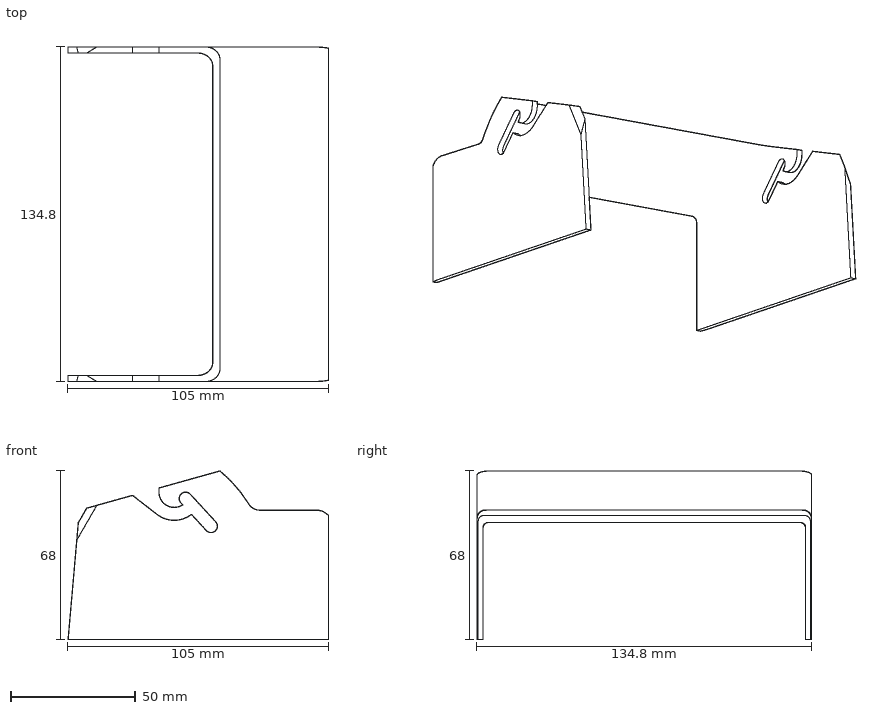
import cadquery as cq
import math

length = 105.0
width = 134.8
sheet = 2.5
half_width = width / 2

front_lean = 5.0
top_edge_rise = math.tan(math.radians(15.6))
apex_x = 61.2
apex_z = 67.96

crown_x = 26.2
crown_z = 25.6
crown_radius = math.hypot(apex_x - crown_x, apex_z - crown_z)
hood_corner_radius = 5.0
crease_radius = 5.0

shelf_z = 52.2
shelf_start = 60.0
shelf_corner_radius_rear = 3.3
edge_corner_radius = 2.2
curl_length = 4.9
curl_start = length - curl_length
curl_radius_outer = 6.5
curl_radius_inner = 6.0
side_curl_radius = 24.0

hook_x = 42.8
hook_z = 59.4
hook_radius = 6.2
throat_radius = 11.3
throat_slope = 37.8
throat_end_angle = -48.0
throat_mouth_run = 60.0
slot_top = (47.4, 56.8)
slot_bottom = (57.6, 45.7)
slot_width = 5.1

bevel_angle = 60.0
bevel_point = (3.5, 40.0)
bevel_reach = 3.0

cutter_margin = 20.0


def top_edge_z(x):
    """Height of the sloping top edge of the side walls at x."""
    return apex_z - (apex_x - x) * top_edge_rise


def across(profile, half):
    """Extrude an XZ profile symmetrically across the width."""
    return profile.extrude(half, both=True)


def hook_point(radius, angle):
    """Point at the given angle on a circle about the hook centre."""
    turn = math.radians(angle)
    return hook_x + radius * math.cos(turn), hook_z + radius * math.sin(turn)


def crown_block(radius, half):
    """Front block with a rounded crown and rounded upper side edges."""
    slant = math.sqrt(0.5) * radius
    profile = (
        cq.Workplane("XZ")
        .moveTo(-cutter_margin, -cutter_margin)
        .lineTo(-cutter_margin, crown_z + radius)
        .lineTo(crown_x, crown_z + radius)
        .threePointArc((crown_x + slant, crown_z + slant), (crown_x + radius, crown_z))
        .lineTo(crown_x + radius, -cutter_margin)
        .close()
    )
    block = across(profile, half)
    return block.faces("<Y or >Y").edges("not(<X or <Z)").fillet(hood_corner_radius)


def rounded_section(x, corner_radius, top, half):
    """Upright cross-section at x with two rounded upper corners, as a wire."""
    bend = corner_radius * (1 - math.sqrt(0.5))
    return (
        cq.Workplane("YZ", origin=(x, 0, 0))
        .moveTo(-half, -cutter_margin)
        .lineTo(-half, top - corner_radius)
        .threePointArc((-half + bend, top - bend), (-half + corner_radius, top))
        .lineTo(half - corner_radius, top)
        .threePointArc((half - bend, top - bend), (half, top - corner_radius))
        .lineTo(half, -cutter_margin)
        .close()
        .val()
    )


def shelf_block(top, half):
    """Flat shelf block whose corner radius tapers toward the rear."""
    sections = [
        rounded_section(shelf_start, hood_corner_radius, top, half),
        rounded_section(curl_start, shelf_corner_radius_rear, top, half),
    ]
    return cq.Workplane(cq.Solid.makeLoft(sections, True))


def arc_drop(radius, run):
    """How far an arc of this radius departs from its tangent over the run."""
    return radius - math.sqrt(radius**2 - run**2)


def curl_block(top, half, top_radius, sides_curl):
    """Rear block whose top, and optionally whose sides, curl inward up to the rear edge."""
    sections = []
    for fraction in (0, 0.5, 1):
        run = fraction * curl_length
        corner_radius = shelf_corner_radius_rear + fraction * (edge_corner_radius - shelf_corner_radius_rear)
        side_drop = arc_drop(side_curl_radius, run) if sides_curl else 0
        section_top = top - arc_drop(top_radius, run)
        sections.append(rounded_section(curl_start + run, corner_radius, section_top, half - side_drop))
    return cq.Workplane(cq.Solid.makeLoft(sections))


def hood(inset, curl_radius, sides_curl):
    """Solid bounded by the hood surface, set in from the outside by inset."""
    half = half_width - inset
    top = shelf_z - inset
    radius = crown_radius - inset
    body = crown_block(radius, half).union(shelf_block(top, half))
    crease_x = crown_x + math.sqrt(radius**2 - (top - crown_z) ** 2)
    crease = body.edges(cq.selectors.NearestToPointSelector((crease_x, 0, top)))
    body = crease.fillet(crease_radius)
    return body.union(curl_block(top, half, curl_radius, sides_curl))


def side_outline():
    """Side silhouette across the width, left full height above the shelf."""
    lean = math.tan(math.radians(front_lean))
    corner_z = top_edge_z(0) / (1 - lean * top_edge_rise)
    return across(
        cq.Workplane("XZ").polyline([
            (0, 0),
            (lean * corner_z, corner_z),
            (apex_x, apex_z),
            (length, apex_z),
            (length, 0),
        ]).close(),
        width,
    )


def hook_opening():
    """Throat around the hook, joined to the inclined slot."""
    tangent_angle = -90 - throat_slope
    middle_angle = (tangent_angle + throat_end_angle) / 2
    throat_start = hook_point(throat_radius, tangent_angle)
    slope = math.radians(throat_slope)
    mouth = (
        throat_start[0] - throat_mouth_run * math.cos(slope),
        throat_start[1] + throat_mouth_run * math.sin(slope),
    )
    hook_left = hook_point(hook_radius, 180)
    throat = across(
        cq.Workplane("XZ")
        .moveTo(*mouth)
        .lineTo(*throat_start)
        .threePointArc(hook_point(throat_radius, middle_angle), hook_point(throat_radius, throat_end_angle))
        .lineTo(*hook_point(hook_radius, throat_end_angle))
        .threePointArc(hook_point(hook_radius, middle_angle), hook_left)
        .lineTo(hook_left[0], mouth[1])
        .close(),
        width,
    )
    run = slot_bottom[0] - slot_top[0]
    fall = slot_bottom[1] - slot_top[1]
    slot = across(
        cq.Workplane("XZ")
        .center((slot_top[0] + slot_bottom[0]) / 2, (slot_top[1] + slot_bottom[1]) / 2)
        .slot2D(math.hypot(run, fall) + slot_width, slot_width, math.degrees(math.atan2(fall, run))),
        width,
    )
    return throat.union(slot)


def front_bevels():
    """Wedges that bevel the outer front upper corner of both side walls."""
    turn = math.radians(bevel_angle)
    plane = cq.Plane(
        origin=(bevel_point[0], 0, bevel_point[1]),
        xDir=(-math.sin(turn), 0, math.cos(turn)),
        normal=(math.cos(turn), 0, math.sin(turn)),
    )
    wedge = (
        cq.Workplane(plane)
        .polyline([
            (0, half_width),
            (bevel_reach, half_width - sheet),
            (cutter_margin, half_width - sheet),
            (cutter_margin, half_width),
        ])
        .close()
        .extrude(cutter_margin, both=True)
    )
    return wedge.union(wedge.mirror("XZ"))


shell = hood(0, curl_radius_outer, True).cut(hood(sheet, curl_radius_inner, False))
result = shell.intersect(side_outline()).cut(hook_opening()).cut(front_bevels())